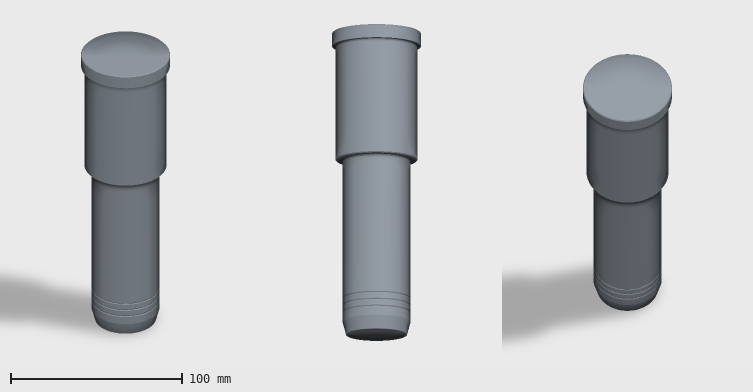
import cadquery as cq

total_length = 180.0
head_height = 8.0
shank_length = 104.0
nose_height = 8.0
head_bottom = total_length - head_height

head_radius = 52.0 / 2
body_radius = 48.0 / 2
shank_radius = 40.0 / 2
nose_tip_radius = 17.8

head_chamfer = 0.5
body_chamfer = 0.5
tip_fillet = 0.5

head_neck_width = 0.5
shank_neck_width = 1.0
neck_depth = 0.5

groove_count = 3
groove_width = 1.0
groove_depth = 0.4
groove_pitch = 4.1
first_groove_height = 13.3


def cylinder(radius, bottom, top):
    return cq.Workplane("XY").workplane(offset=bottom).circle(radius).extrude(top - bottom)


def make_oil_groove(center_height):
    """Ring of diamond section that cuts a V groove into the shank surface."""
    diamond = [
        (shank_radius - groove_depth, center_height),
        (shank_radius, center_height + groove_width / 2),
        (shank_radius + groove_depth, center_height),
        (shank_radius, center_height - groove_width / 2),
    ]
    return cq.Workplane("XZ").polyline(diamond).close().revolve(360, (0, 0), (0, 1))


def make_head():
    return cylinder(head_radius, head_bottom, total_length).faces(">Z").edges().chamfer(head_chamfer)


def make_body():
    body = cylinder(body_radius, shank_length, head_bottom - head_neck_width)
    body = body.edges().chamfer(body_chamfer)
    neck = cylinder(body_radius - neck_depth, head_bottom - head_neck_width, head_bottom)
    return body.union(neck)


def make_shank():
    profile = [
        (0, 0),
        (nose_tip_radius, 0),
        (shank_radius, nose_height),
        (shank_radius, shank_length - shank_neck_width),
        (shank_radius - neck_depth, shank_length - shank_neck_width),
        (shank_radius - neck_depth, shank_length),
        (0, shank_length),
    ]
    shank = cq.Workplane("XZ").polyline(profile).close().revolve(360, (0, 0), (0, 1))
    shank = shank.faces("<Z").edges().fillet(tip_fillet)
    for index in range(groove_count):
        shank = shank.cut(make_oil_groove(first_groove_height + index * groove_pitch))
    return shank


result = make_shank().union(make_body()).union(make_head())